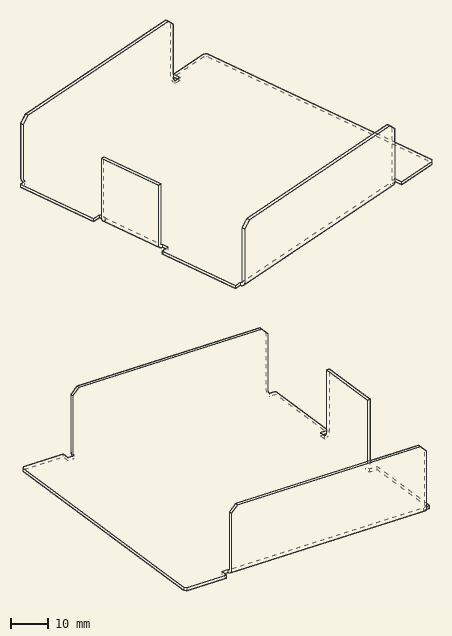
import cadquery as cq

side = 80.0
height = 21.0
thickness = 1.0
inner_radius = 0.6
outer_radius = inner_radius + thickness
clearance = 2.0

wall_inset = 0.7
wall_back_y = 24.6
wall_front_y = -side / 2 + clearance
wall_corner = 2.0
wall_outer_x = side / 2 - wall_inset
body_half_width = wall_outer_x - outer_radius

tab_width = 20.0
tab_inset = 0.9
tab_outer_y = side / 2 - tab_inset
tab_bend_y = tab_outer_y - outer_radius

strip_front_y = wall_back_y + clearance
strip_depth = side / 2 - strip_front_y
strip_corner = 0.6


def base_plate():
    body = cq.Workplane("XY").box(2 * body_half_width, side, thickness, centered=(True, True, False))
    strip = (
        cq.Workplane("XY")
        .box(side, strip_depth, thickness, centered=(True, False, False))
        .translate((0, strip_front_y, 0))
        .edges("|Z and >Y")
        .chamfer(strip_corner)
    )
    notch_depth = side / 2 - tab_bend_y
    notch = (
        cq.Workplane("XY")
        .box(tab_width + 2 * clearance, notch_depth, thickness, centered=(True, False, False))
        .translate((0, -side / 2, 0))
    )
    return body.union(strip).cut(notch)


def flange(outer_face, width):
    """Bend and upright wall facing +X, centred on Y, with its outer face at the given X."""
    bend_start = outer_face - outer_radius
    inner_face = outer_face - thickness
    diagonal = 0.5 ** 0.5
    outer_mid = (bend_start + outer_radius * diagonal, outer_radius * (1 - diagonal))
    inner_mid = (bend_start + inner_radius * diagonal, outer_radius - inner_radius * diagonal)
    return (
        cq.Workplane("XZ")
        .moveTo(bend_start, 0)
        .threePointArc(outer_mid, (outer_face, outer_radius))
        .lineTo(outer_face, height)
        .lineTo(inner_face, height)
        .lineTo(inner_face, outer_radius)
        .threePointArc(inner_mid, (bend_start, thickness))
        .close()
        .extrude(width / 2, both=True)
    )


def side_wall():
    wall = flange(wall_outer_x, wall_back_y - wall_front_y)
    wall = wall.faces(">Z").edges("|X").chamfer(wall_corner)
    return wall.translate((0, (wall_back_y + wall_front_y) / 2, 0))


right_wall = side_wall()
left_wall = right_wall.mirror("YZ")
front_tab = flange(tab_outer_y, tab_width).rotate((0, 0, 0), (0, 0, 1), -90)

result = base_plate().union(right_wall).union(left_wall).union(front_tab)